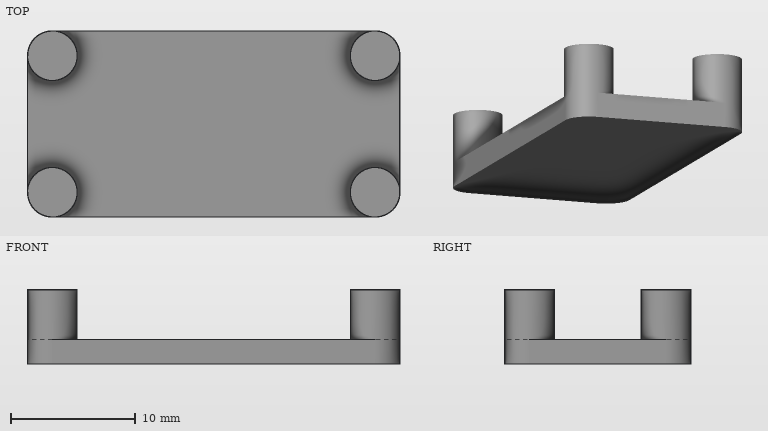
import cadquery as cq

length = 30.0
width = 15.0
height = 6.0

plate_thickness = 2.0
post_diameter = 4.0

post_spacing_x = length - post_diameter
post_spacing_y = width - post_diameter


def slab(size_x, size_y):
    """Rectangular slab of plate thickness, centred in X and Y, with its bottom at Z = 0."""
    return cq.Workplane("XY").box(size_x, size_y, plate_thickness, centered=(True, True, False))


def base_plate():
    """Two crossing slabs; the posts fill the open corners and round them off."""
    return slab(length, post_spacing_y).union(slab(post_spacing_x, width))


def corner_posts():
    """Four round posts at the plate corners, standing the full height of the part."""
    return (
        cq.Workplane("XY")
        .rect(post_spacing_x, post_spacing_y, forConstruction=True)
        .vertices()
        .circle(post_diameter / 2)
        .extrude(height)
    )


result = base_plate().union(corner_posts())